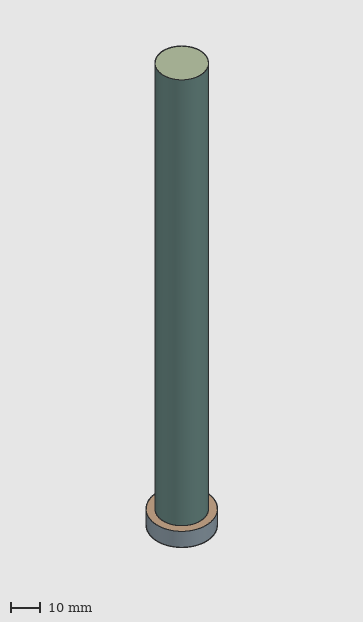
import cadquery as cq

total_length = 200.0
shaft_diameter = 18.0
head_diameter = 24.0
head_height = 7.0


def make_head():
    """Head disc resting on the XY plane, centred on Z."""
    return cq.Workplane("XY").circle(head_diameter / 2).extrude(head_height)


def make_shaft():
    """Full-length shaft running through the head to the plain tip."""
    return cq.Workplane("XY").circle(shaft_diameter / 2).extrude(total_length)


result = make_head().union(make_shaft())